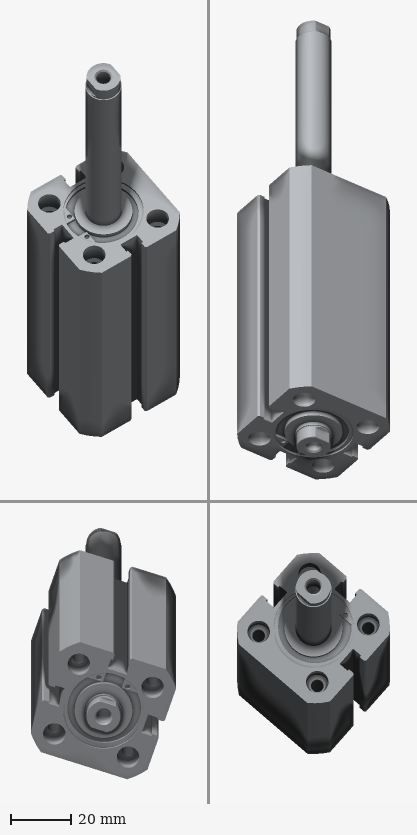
import cadquery as cq
import math

ROD_LENGTH = 175.0
BODY_WIDTH = 41.0
BODY_LENGTH = 93.0
BODY_BOTTOM = 6.1
BODY_TOP = BODY_BOTTOM + BODY_LENGTH
BODY_MIDDLE = (BODY_BOTTOM + BODY_TOP) / 2

CORNER_DIAMETER = 51.0
BORE_DIAMETER = 26.8
BOLT_SPACING = 25.9
BOLT_HOLE_DIAMETER = 4.2
COUNTERBORE_DIAMETER = 7.5
COUNTERBORE_DEPTH = 7.0
SLOT_MOUTH_WIDTH = 5.5
SLOT_INNER_WIDTH = 6.8
SLOT_LIP = 2.5
SLOT_EDGE_CHAMFER = 0.5
SLOT_DEPTH = 6.0
SLOT_ANGLES = (0, 90, 180)

RING_RECESS = 0.7
RING_THICKNESS = 1.0
RING_DIAMETER = 28.9
RING_INNER_DIAMETER = 24.5
RING_INNER_OFFSET = 0.7
EAR_FACE = 9.3
EAR_GAP = 6.6
EAR_HOLE_DIAMETER = 1.8
EAR_HOLE_X = 5.0
EAR_HOLE_Y = -10.3

COVER_RECESS = RING_RECESS + RING_THICKNESS
COVER_LENGTH = 14.0
COVER_BOSS_DIAMETER = 19.2
COVER_BOSS_HEIGHT = COVER_RECESS

ROD_DIAMETER = 12.0
ROD_END_DIAMETER = 11.4
ROD_END_LENGTH = 4.9
FLAT_LENGTH = 4.0
ACROSS_FLATS = 10.0
ROD_BOTTOM_CHAMFER = 0.2
ROD_HOLE_DIAMETER = 4.9
ROD_HOLE_MOUTH_DIAMETER = 6.0
ROD_HOLE_DEPTH = 12.2
DRILL_TIP_ANGLE = 118.0


def cylinder(diameter, bottom, height):
    """Cylinder on the Z axis."""
    return cq.Workplane("XY").workplane(offset=bottom).circle(diameter / 2).extrude(height)


def opposite_end(body):
    """Copy of a body from the housing's top end, mirrored to its bottom end."""
    return body.mirror("XY", (0, 0, BODY_MIDDLE))


def slot_cutter():
    """T-slot along the full length of the -X side."""
    outside = -BODY_WIDTH / 2
    half_mouth = SLOT_MOUTH_WIDTH / 2
    half_inner = SLOT_INNER_WIDTH / 2
    return (
        cq.Workplane("XY")
        .workplane(offset=BODY_BOTTOM)
        .moveTo(outside, -half_mouth - SLOT_EDGE_CHAMFER)
        .lineTo(outside + SLOT_EDGE_CHAMFER, -half_mouth)
        .lineTo(outside + SLOT_LIP, -half_mouth)
        .lineTo(outside + SLOT_LIP, -half_inner)
        .lineTo(outside + SLOT_DEPTH, -half_inner)
        .lineTo(outside + SLOT_DEPTH, half_inner)
        .lineTo(outside + SLOT_LIP, half_inner)
        .lineTo(outside + SLOT_LIP, half_mouth)
        .lineTo(outside + SLOT_EDGE_CHAMFER, half_mouth)
        .lineTo(outside, half_mouth + SLOT_EDGE_CHAMFER)
        .close()
        .extrude(BODY_LENGTH)
    )


def bolt_hole_cutter():
    """Four through holes with a counterbore at each end."""
    end_face = cq.Workplane("XY").workplane(offset=BODY_BOTTOM)
    centers = end_face.rect(BOLT_SPACING, BOLT_SPACING, forConstruction=True).vertices()
    holes = centers.circle(BOLT_HOLE_DIAMETER / 2).extrude(BODY_LENGTH)
    counterbores = centers.circle(COUNTERBORE_DIAMETER / 2).extrude(COUNTERBORE_DEPTH)
    return holes.union(counterbores).union(opposite_end(counterbores))


def make_housing():
    housing = (
        cq.Workplane("XY")
        .workplane(offset=BODY_BOTTOM)
        .rect(BODY_WIDTH, BODY_WIDTH)
        .extrude(BODY_LENGTH)
        .intersect(cylinder(CORNER_DIAMETER, BODY_BOTTOM, BODY_LENGTH))
    )
    housing = housing.cut(cylinder(BORE_DIAMETER, BODY_BOTTOM, BODY_LENGTH))
    groove = cylinder(RING_DIAMETER, BODY_TOP - COVER_RECESS, RING_THICKNESS)
    housing = housing.cut(groove).cut(opposite_end(groove))
    for angle in SLOT_ANGLES:
        housing = housing.cut(slot_cutter().rotate((0, 0, 0), (0, 0, 1), angle))
    return housing.cut(bolt_hole_cutter())


def make_ring():
    """Retaining ring at the top end, open toward -Y between two ears with plier holes."""
    bottom = BODY_TOP - COVER_RECESS
    base = cq.Workplane("XY").workplane(offset=bottom)
    above_ears = (
        base.center(0, RING_DIAMETER / 2 - EAR_FACE)
        .rect(RING_DIAMETER, RING_DIAMETER)
        .extrude(RING_THICKNESS)
    )
    opening = base.center(0, -RING_INNER_OFFSET).circle(RING_INNER_DIAMETER / 2).extrude(RING_THICKNESS)
    gap = base.center(0, -RING_DIAMETER / 2).rect(EAR_GAP, RING_DIAMETER).extrude(RING_THICKNESS)
    plier_holes = (
        base.pushPoints([(-EAR_HOLE_X, EAR_HOLE_Y), (EAR_HOLE_X, EAR_HOLE_Y)])
        .circle(EAR_HOLE_DIAMETER / 2)
        .extrude(RING_THICKNESS)
    )
    ring = cylinder(RING_DIAMETER, bottom, RING_THICKNESS)
    return ring.cut(opening.intersect(above_ears)).cut(gap).cut(plier_holes)


def make_cover():
    """Rod cover at the top end: a disc in the bore with a boss inside the retaining ring."""
    seat = BODY_TOP - COVER_RECESS
    cover = cylinder(BORE_DIAMETER, seat - COVER_LENGTH, COVER_LENGTH)
    cover = cover.union(cylinder(COVER_BOSS_DIAMETER, seat, COVER_BOSS_HEIGHT))
    return cover.cut(cylinder(ROD_DIAMETER, seat - COVER_LENGTH, COVER_LENGTH + COVER_BOSS_HEIGHT))


def rod_end():
    """Reduced top end of the rod, with two flats that run out at 45 degrees above the shoulder."""
    shoulder = ROD_LENGTH - ROD_END_LENGTH
    flat_end = ROD_LENGTH - FLAT_LENGTH
    half_flats = ACROSS_FLATS / 2
    half_shoulder = half_flats + flat_end - shoulder
    between_flats = (
        cq.Workplane("YZ")
        .moveTo(-half_shoulder, shoulder)
        .lineTo(half_shoulder, shoulder)
        .lineTo(half_flats, flat_end)
        .lineTo(half_flats, ROD_LENGTH)
        .lineTo(-half_flats, ROD_LENGTH)
        .lineTo(-half_flats, flat_end)
        .close()
        .extrude(ROD_DIAMETER / 2, both=True)
    )
    return cylinder(ROD_END_DIAMETER, shoulder, ROD_END_LENGTH).intersect(between_flats)


def rod_hole():
    """Drilled hole with a chamfered mouth in the rod's top end."""
    hole_radius = ROD_HOLE_DIAMETER / 2
    mouth_radius = ROD_HOLE_MOUTH_DIAMETER / 2
    tip_height = hole_radius / math.tan(math.radians(DRILL_TIP_ANGLE / 2))
    hole_bottom = ROD_LENGTH - ROD_HOLE_DEPTH
    return (
        cq.Workplane("XZ")
        .moveTo(0, hole_bottom - tip_height)
        .lineTo(hole_radius, hole_bottom)
        .lineTo(hole_radius, ROD_LENGTH - (mouth_radius - hole_radius))
        .lineTo(mouth_radius, ROD_LENGTH)
        .lineTo(0, ROD_LENGTH)
        .close()
        .revolve(360, (0, 0, 0), (0, 1, 0))
    )


def make_rod():
    """Through rod with the same end shape and hole at both ends."""
    rod = cylinder(ROD_DIAMETER, ROD_END_LENGTH, ROD_LENGTH - 2 * ROD_END_LENGTH)
    top_end = rod_end()
    bottom_end = top_end.mirror("XY", (0, 0, ROD_LENGTH / 2)).faces("<Z").chamfer(ROD_BOTTOM_CHAMFER)
    top_hole = rod_hole()
    bottom_hole = top_hole.mirror("XY", (0, 0, ROD_LENGTH / 2))
    return rod.union(top_end).union(bottom_end).cut(top_hole).cut(bottom_hole)


housing = make_housing()
rod = make_rod()
top_cover = make_cover()
top_ring = make_ring()
end_parts = []
for part in (top_cover, top_ring):
    end_parts.append(part.val())
    end_parts.append(opposite_end(part).val())

result = cq.Compound.makeCompound([housing.val(), rod.val(), *end_parts])